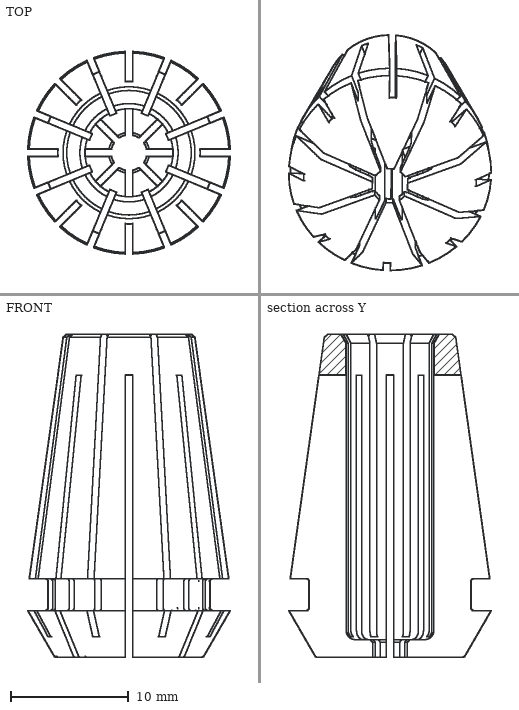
import cadquery as cq
import math

length = 27.5
flange_diameter = 17.25

flange_height = 4.0
flange_angle = 30.0
bottom_rim_fillet = 0.22
groove_width = 2.7
groove_radius = 6.9
groove_fillet = 0.22

taper_base_radius = 8.5
taper_angle = 8.0
tip_chamfer = 0.28

wide_bore_radius = 3.75
narrow_bore_radius = 1.5
bore_step_z = 1.5
bore_step_fillet = 0.8
mouth_chamfer_width = 0.45
mouth_chamfer_depth = 0.77
narrow_bore_chamfer = 0.22

slot_width = 0.6
slots_per_set = 8
bottom_slot_top_z = 24.0
top_slot_floor_z = 1.75

flange_radius = flange_diameter / 2
bottom_radius = flange_radius - flange_height * math.tan(math.radians(flange_angle))
groove_top_z = flange_height + groove_width
tip_radius = taper_base_radius - (length - groove_top_z) * math.tan(math.radians(taper_angle))
slot_pitch = 360.0 / slots_per_set


def make_outer_body():
    """Revolve the two cones and the groove, then ease both rims and the groove corners."""
    profile = (
        cq.Workplane("XZ")
        .polyline(
            [
                (0, 0),
                (bottom_radius, 0),
                (flange_radius, flange_height),
                (groove_radius, flange_height),
                (groove_radius, groove_top_z),
                (taper_base_radius, groove_top_z),
                (tip_radius, length),
                (0, length),
            ]
        )
        .close()
    )
    body = profile.revolve(360, (0, 0, 0), (0, 1, 0))
    body = body.faces(">Z").edges().chamfer(tip_chamfer)
    body = body.faces("<Z").edges().fillet(bottom_rim_fillet)
    return round_groove(body)


def round_groove(body):
    """Fillet both inner corners of the groove."""
    margin = groove_fillet / 2
    corners = body.edges(
        cq.selectors.BoxSelector(
            (-groove_radius - margin, -groove_radius - margin, flange_height - margin),
            (groove_radius + margin, groove_radius + margin, groove_top_z + margin),
            boundingbox=True,
        )
    ).edges("%CIRCLE")
    return corners.fillet(groove_fillet)


def make_bore():
    """Revolve the stepped bore with its rounded floor and beveled edges."""
    fillet_start = wide_bore_radius - bore_step_fillet
    fillet_mid = bore_step_fillet * math.sqrt(0.5)
    profile = (
        cq.Workplane("XZ")
        .moveTo(0, 0)
        .lineTo(narrow_bore_radius, 0)
        .lineTo(narrow_bore_radius, bore_step_z - narrow_bore_chamfer)
        .lineTo(narrow_bore_radius + narrow_bore_chamfer, bore_step_z)
        .lineTo(fillet_start, bore_step_z)
        .threePointArc(
            (fillet_start + fillet_mid, bore_step_z + bore_step_fillet - fillet_mid),
            (wide_bore_radius, bore_step_z + bore_step_fillet),
        )
        .lineTo(wide_bore_radius, length - mouth_chamfer_depth)
        .lineTo(wide_bore_radius + mouth_chamfer_width, length)
        .lineTo(0, length)
        .close()
    )
    return profile.revolve(360, (0, 0, 0), (0, 1, 0))


def make_slots(bottom_z, top_z, first_angle):
    """Ring of radial slots, each running from the axis out past the flange."""
    blade = cq.Workplane("XY").box(
        flange_diameter, slot_width, top_z - bottom_z, centered=(False, True, False)
    )
    blade = blade.translate((0, 0, bottom_z))
    slots = cq.Workplane("XY")
    for index in range(slots_per_set):
        angle = first_angle + index * slot_pitch
        slots = slots.add(blade.rotate((0, 0, 0), (0, 0, 1), angle))
    return slots.combine()


body = make_outer_body().cut(make_bore())
bottom_slots = make_slots(0, bottom_slot_top_z, 0)
top_slots = make_slots(top_slot_floor_z, length, slot_pitch / 2)
result = body.cut(bottom_slots).cut(top_slots)